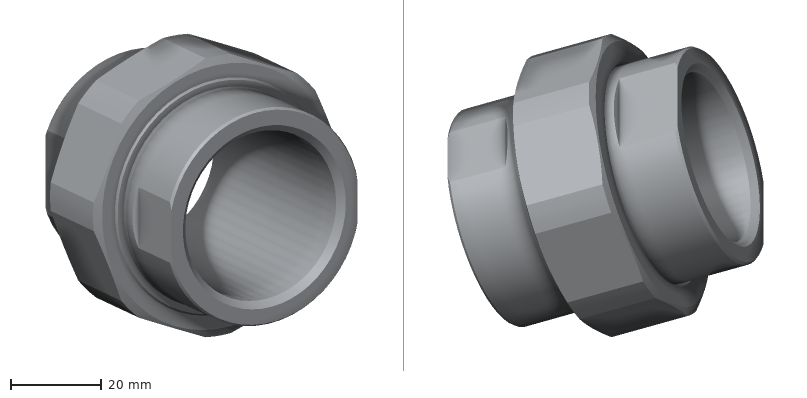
import cadquery as cq
import math

total_length = 55.5
nut_start = 16.55
nut_end = 36.55

nut_sides = 8
nut_across_flats = 61.95
nut_diameter = 64.7
nut_face_diameter = 60.9
nut_chamfer_length = 0.8
nut_hole_diameter = 50.5
nut_hole_chamfer = 0.45
nut_lip_thickness = 3.9
nut_bore_diameter = 54.4

tube_diameter = 50.0
bore_diameter = 38.95
mouth_diameter = 42.05
mouth_depth = 1.55
end_chamfer_length = 0.65
end_chamfer_drop = 0.45

flange_thickness = 9.05
flange_start = nut_start + nut_lip_thickness
joint_x = flange_start + flange_thickness

shoulder_end = nut_end + 0.45
shoulder_chamfer = 0.45
neck_diameter = 50.5
neck_end = shoulder_end + 0.85

left_flat_offset = 23.0
left_flat_length = 14.1
left_flat_run = 0.5
right_flat_offset = 24.0
right_flat_length = 14.1

tube_radius = tube_diameter / 2
bore_radius = bore_diameter / 2
mouth_radius = mouth_diameter / 2
nut_bore_radius = nut_bore_diameter / 2
end_radius = tube_radius - end_chamfer_drop


def revolve_about_x(points):
    """Solid of revolution from an (x, radius) outline."""
    return cq.Workplane("XY").polyline(points).close().revolve(360, (0, 0, 0), (1, 0, 0))


def cut_wrench_flats(body, end_x, inward, offset, length, wall_run):
    """Cut a pair of flats on the -Y and +Y sides; inward is the X direction from the end."""
    wall_rise = tube_radius - offset
    top = offset + 2 * wall_rise
    wall_foot = end_x + inward * length
    wall_top = wall_foot + inward * 2 * wall_run
    for side in (-1, 1):
        cutter = (
            cq.Workplane("XY")
            .polyline([(end_x, side * offset), (wall_foot, side * offset),
                       (wall_top, side * top), (end_x, side * top)])
            .close()
            .extrude(tube_radius, both=True)
        )
        body = body.cut(cutter)
    return body


def make_nut():
    corner_diameter = nut_across_flats / math.cos(math.pi / nut_sides)
    octagon = (
        cq.Workplane("YZ", origin=(nut_start, 0, 0))
        .polygon(nut_sides, corner_diameter)
        .extrude(nut_end - nut_start)
    )
    face_radius = nut_face_diameter / 2
    rim_radius = nut_diameter / 2
    hole_radius = nut_hole_diameter / 2
    turned_ring = revolve_about_x([
        (nut_start, hole_radius + nut_hole_chamfer),
        (nut_start, face_radius),
        (nut_start + nut_chamfer_length, rim_radius),
        (nut_end - nut_chamfer_length, rim_radius),
        (nut_end, face_radius),
        (nut_end, nut_bore_radius),
        (flange_start, nut_bore_radius),
        (flange_start, hole_radius),
        (nut_start + nut_hole_chamfer, hole_radius),
    ])
    return octagon.intersect(turned_ring)


def make_left_tube():
    tube = revolve_about_x([
        (0, mouth_radius),
        (0, end_radius),
        (end_chamfer_length, tube_radius),
        (flange_start, tube_radius),
        (flange_start, nut_bore_radius),
        (joint_x, nut_bore_radius),
        (joint_x, bore_radius),
        (mouth_depth, bore_radius),
    ])
    return cut_wrench_flats(tube, 0, 1, left_flat_offset, left_flat_length, left_flat_run)


def make_right_tube():
    tube = revolve_about_x([
        (joint_x, bore_radius),
        (joint_x, nut_bore_radius),
        (shoulder_end - shoulder_chamfer, nut_bore_radius),
        (shoulder_end, nut_bore_radius - shoulder_chamfer),
        (shoulder_end, neck_diameter / 2),
        (neck_end, tube_radius),
        (total_length - end_chamfer_length, tube_radius),
        (total_length, end_radius),
        (total_length, mouth_radius),
        (total_length - mouth_depth, bore_radius),
    ])
    wall_run = tube_radius - right_flat_offset
    return cut_wrench_flats(tube, total_length, -1, right_flat_offset, right_flat_length, wall_run)


nut = make_nut()
left_tube = make_left_tube()
right_tube = make_right_tube()

result = cq.Compound.makeCompound([nut.val(), left_tube.val(), right_tube.val()])